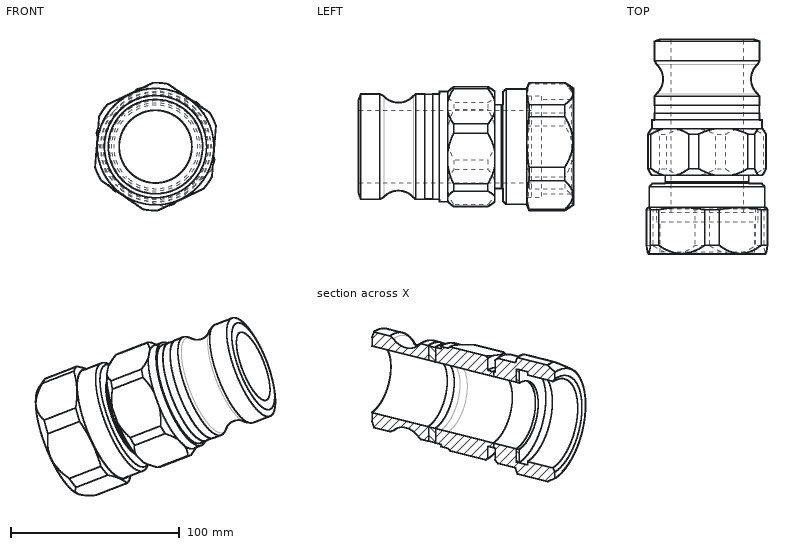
import cadquery as cq
import math

total_length = 127.7
bore_d = 43.0

washer_front_y = 25.0
washer_thickness = 1.9
washer_back_y = washer_front_y + washer_thickness
neck_seam_y = 43.0
swivel_end_y = 83.5
adapter_start_y = 88.4

nut_corner_d = 76.0
nut_across_flats = 69.7
nut_hex_angle = 25.5
nut_face_d = 69.2
nut_front_chamfer = 5.2
nut_back_chamfer = 1.4
nut_hex_end_y = 27.8
collar_d = 68.7
collar_end_y = 42.0
collar_chamfer = 1.9
neck_d = 49.8
socket_d = 56.0
socket_mouth_d = 60.7
socket_chamfer = 1.5
undercut_d = 60.3
undercut_start_y = 19.2

swivel_corner_d = 71.8
swivel_across_flats = 64.9
swivel_hex_angle = 42.7
swivel_hex_start_y = 46.7
swivel_hex_end_y = 74.6
swivel_front_chamfer = 4.1
swivel_back_chamfer = 3.3
swivel_step_d = 65.5
swivel_step_end_y = 79.7

ring_d = 62.2

adapter_d = 62.6
groove_mid_y = 104.0
groove_bottom_d = 52.4
groove_arc_half_width = 8.8
groove_edge_d = 60.3
groove_front_y = 93.6
groove_back_y = 114.9
end_chamfer_length = 1.4
end_face_d = 54.9


def revolved(points):
    """Turn a closed outline of (radius, y) points about the Y axis."""
    return cq.Workplane("XY").polyline(points).close().revolve(360, (0, 0, 0), (0, 1, 0))


def tube(outer_d, inner_d, start_y, end_y):
    """Plain round tube between two positions on the axis."""
    outer_r = outer_d / 2
    inner_r = inner_d / 2
    return revolved([(inner_r, start_y), (outer_r, start_y), (outer_r, end_y), (inner_r, end_y)])


def hex_collar(across_flats, corner_d, corner_angle, end_d, start_y, end_y, front_chamfer, back_chamfer):
    """Hexagon with rounded corners and a cone at each end, one corner at corner_angle from +X to +Z."""
    vertex_r = across_flats / 2 / math.cos(math.radians(30))
    angles = [math.radians(corner_angle + 60 * k) for k in range(6)]
    vertices = [(vertex_r * math.cos(a), vertex_r * math.sin(a)) for a in angles]
    prism = cq.Workplane("XZ", origin=(0, start_y, 0)).polyline(vertices).close().extrude(start_y - end_y)
    corner_r = corner_d / 2
    end_r = end_d / 2
    blank = revolved([
        (0, start_y),
        (end_r, start_y),
        (corner_r, start_y + front_chamfer),
        (corner_r, end_y - back_chamfer),
        (end_r, end_y),
        (0, end_y),
    ])
    return prism.intersect(blank)


def make_union_nut():
    hexagon = hex_collar(nut_across_flats, nut_corner_d, nut_hex_angle, nut_face_d,
                         0, nut_hex_end_y, nut_front_chamfer, nut_back_chamfer)
    collar_r = collar_d / 2
    neck_r = neck_d / 2
    collar = revolved([
        (0, nut_hex_end_y),
        (collar_r, nut_hex_end_y),
        (collar_r, collar_end_y - collar_chamfer),
        (collar_r - collar_chamfer, collar_end_y),
        (neck_r, collar_end_y),
        (neck_r, neck_seam_y),
        (0, neck_seam_y),
    ])
    socket = revolved([
        (0, 0),
        (socket_mouth_d / 2, 0),
        (socket_d / 2, socket_chamfer),
        (socket_d / 2, undercut_start_y),
        (undercut_d / 2, undercut_start_y),
        (undercut_d / 2, washer_back_y),
        (bore_d / 2, washer_back_y),
        (bore_d / 2, neck_seam_y),
        (0, neck_seam_y),
    ])
    return hexagon.union(collar).cut(socket)


def make_swivel_body():
    neck = tube(neck_d, bore_d, neck_seam_y, swivel_hex_start_y)
    hexagon = hex_collar(swivel_across_flats, swivel_corner_d, swivel_hex_angle, swivel_step_d,
                         swivel_hex_start_y, swivel_hex_end_y, swivel_front_chamfer, swivel_back_chamfer)
    wide_step = tube(swivel_step_d, bore_d, swivel_hex_end_y, swivel_step_end_y)
    narrow_step = tube(adapter_d, bore_d, swivel_step_end_y, swivel_end_y)
    bore = tube(bore_d, 0, swivel_hex_start_y, swivel_hex_end_y)
    return hexagon.cut(bore).union(neck).union(wide_step).union(narrow_step)


def make_adapter():
    outer_r = adapter_d / 2
    bore_r = bore_d / 2
    profile = (
        cq.Workplane("XY")
        .moveTo(bore_r, adapter_start_y)
        .lineTo(outer_r, adapter_start_y)
        .lineTo(outer_r, groove_front_y)
        .lineTo(groove_edge_d / 2, groove_mid_y - groove_arc_half_width)
        .threePointArc(
            (groove_bottom_d / 2, groove_mid_y),
            (groove_edge_d / 2, groove_mid_y + groove_arc_half_width),
        )
        .lineTo(outer_r, groove_back_y)
        .lineTo(outer_r, total_length - end_chamfer_length)
        .lineTo(end_face_d / 2, total_length)
        .lineTo(bore_r, total_length)
        .close()
    )
    return profile.revolve(360, (0, 0, 0), (0, 1, 0))


union_nut = make_union_nut()
washer = tube(undercut_d, bore_d, washer_front_y, washer_back_y)
swivel_body = make_swivel_body()
spacer_ring = tube(ring_d, bore_d, swivel_end_y, adapter_start_y)
adapter = make_adapter()

result = cq.Compound.makeCompound([
    union_nut.val(),
    washer.val(),
    swivel_body.val(),
    spacer_ring.val(),
    adapter.val(),
])